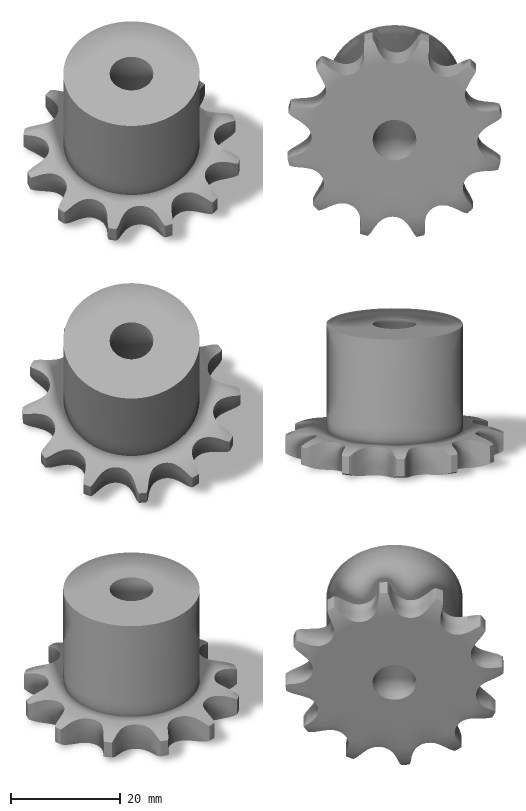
import cadquery as cq
import math

TOOTH_COUNT = 12
CHAIN_PITCH = 9.525
ROLLER_DIAMETER = 6.35
OUTER_RADIUS = 20.0

PLATE_THICKNESS = 5.3
CROWN_START_RADIUS = 15.6
CROWN_ARC_RADIUS = 10.0
TOTAL_HEIGHT = 25.0
HUB_DIAMETER = 25.0
BORE_DIAMETER = 8.0

PITCH_RADIUS = CHAIN_PITCH / 2 / math.sin(math.pi / TOOTH_COUNT)
SEATING_RATIO = 1.005
SEATING_ALLOWANCE = 0.0762
SEATING_RADIUS = (SEATING_RATIO * ROLLER_DIAMETER + SEATING_ALLOWANCE) / 2
SEATING_ANGLE = math.radians(35 + 60 / TOOTH_COUNT)
WORKING_ANGLE = math.radians(18 - 56 / TOOTH_COUNT)
WORKING_CENTER_OFFSET = 0.8 * ROLLER_DIAMETER
TOPPING_CENTER_OFFSET = 1.4 * ROLLER_DIAMETER
WORKING_RADIUS = SEATING_RADIUS + WORKING_CENTER_OFFSET
GAP_CLEARANCE = 1.0


def on_arc(center, radius, angle):
    return (center[0] + radius * math.cos(angle), center[1] + radius * math.sin(angle))


def mirrored(point):
    return (-point[0], point[1])


def make_plate_blank():
    """Toothless disc with both rims rounded by an arc tangent to the flat faces."""
    run = OUTER_RADIUS - CROWN_START_RADIUS
    half_run = run / 2

    def drop(distance):
        return CROWN_ARC_RADIUS - math.sqrt(CROWN_ARC_RADIUS**2 - distance**2)

    return (
        cq.Workplane("XZ")
        .lineTo(CROWN_START_RADIUS, 0)
        .threePointArc((CROWN_START_RADIUS + half_run, drop(half_run)), (OUTER_RADIUS, drop(run)))
        .lineTo(OUTER_RADIUS, PLATE_THICKNESS - drop(run))
        .threePointArc(
            (CROWN_START_RADIUS + half_run, PLATE_THICKNESS - drop(half_run)),
            (CROWN_START_RADIUS, PLATE_THICKNESS),
        )
        .lineTo(0, PLATE_THICKNESS)
        .close()
        .revolve(360, (0, 0, 0), (0, 1, 0))
    )


def make_gap_cutter():
    """Prism of one tooth gap, centred on +Y."""
    seat_center = (0, PITCH_RADIUS)
    seat_bottom = (0, PITCH_RADIUS - SEATING_RADIUS)
    seat_end = on_arc(seat_center, SEATING_RADIUS, -SEATING_ANGLE)

    working_center = on_arc(seat_center, WORKING_CENTER_OFFSET, math.pi - SEATING_ANGLE)
    flat_normal = WORKING_ANGLE - SEATING_ANGLE
    working_middle = on_arc(working_center, WORKING_RADIUS, -SEATING_ANGLE + WORKING_ANGLE / 2)
    working_end = on_arc(working_center, WORKING_RADIUS, flat_normal)

    topping_center = on_arc(seat_center, TOPPING_CENTER_OFFSET, -math.pi / TOOTH_COUNT)
    to_center = (topping_center[0] - working_end[0], topping_center[1] - working_end[1])
    topping_radius = to_center[0] * math.cos(flat_normal) + to_center[1] * math.sin(flat_normal)
    topping_start_angle = math.pi + flat_normal
    flat_end = on_arc(topping_center, topping_radius, topping_start_angle)

    gap_top = OUTER_RADIUS + GAP_CLEARANCE
    topping_end_angle = math.pi - math.asin((gap_top - topping_center[1]) / topping_radius)
    topping_middle_angle = (topping_start_angle + topping_end_angle) / 2
    topping_middle = on_arc(topping_center, topping_radius, topping_middle_angle)
    topping_end = on_arc(topping_center, topping_radius, topping_end_angle)

    return (
        cq.Workplane("XY")
        .moveTo(*mirrored(seat_end))
        .threePointArc(seat_bottom, seat_end)
        .threePointArc(working_middle, working_end)
        .lineTo(*flat_end)
        .threePointArc(topping_middle, topping_end)
        .lineTo(*mirrored(topping_end))
        .threePointArc(mirrored(topping_middle), mirrored(flat_end))
        .lineTo(*mirrored(working_end))
        .threePointArc(mirrored(working_middle), mirrored(seat_end))
        .close()
        .extrude(PLATE_THICKNESS)
    )


def make_toothed_plate():
    plate = make_plate_blank()
    cutter = make_gap_cutter()
    for index in range(TOOTH_COUNT):
        plate = plate.cut(cutter.rotate((0, 0, 0), (0, 0, 1), index * 360 / TOOTH_COUNT))
    return plate


def make_hub():
    return cq.Workplane("XY").circle(HUB_DIAMETER / 2).extrude(TOTAL_HEIGHT)


def make_bore():
    return cq.Workplane("XY").circle(BORE_DIAMETER / 2).extrude(TOTAL_HEIGHT)


result = make_toothed_plate().union(make_hub()).cut(make_bore())